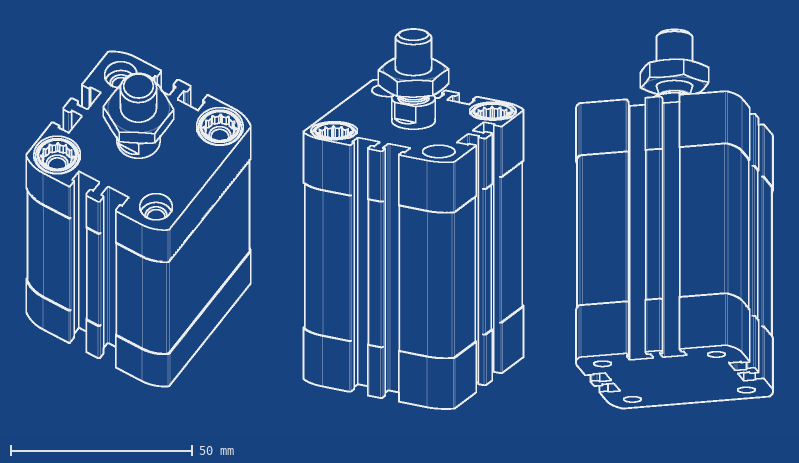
import cadquery as cq
import math

total_height = 99.6
housing_width = 47.0
housing_height = 73.8

half_width = housing_width / 2
cap_height = 15.1
barrel_inset = 0.3
hole_offset = 16.2
corner_radius = 11.6
cap_edge_radius = 0.7
barrel_edge_radius = 1.0

slot_mouth = 7.5
slot_wall = 8.2
rib_head = 2.3
rib_neck = 1.3
lip_depth = 2.5
slot_depth = 5.9
rib_round = 0.5
rib_root_round = 0.4
mouth_round = 0.3
cut_margin = 1.0
slot_angles = (0, 90, 180)

through_diameter = 4.9
hole_mouth_diameter = 6.0
counterbore_diameter = 9.0
counterbore_depth = 4.2

head_recess_diameter = 12.8
head_diameter = 11.9
head_chamfer = 0.5
socket_mouth_diameter = 10.2
socket_diameter = 8.2
spline_tip_diameter = 9.2
spline_squares = 3

rod_diameter = 12.0
rod_seat_depth = cap_height
shank_height = 6.8
flat_width = 10.0
flat_root_height = 2.0
flat_edge_height = 1.5
thread_diameter = 10.0
thread_tip_chamfer = 0.9
neck_base_diameter = 8.6
neck_diameter = 8.2
neck_step_diameter = 8.5
neck_start = 7.4
neck_end = 8.0
neck_step_end = 8.3

nut_width = 16.9
nut_start = 10.7
nut_thickness = 5.0
nut_chamfer_angle = 15.0


def corner_block(inset, edge_radius, height):
    """Square block whose four corners are arcs that end short of the X side faces."""
    side = half_width - inset
    radius = corner_radius - inset
    arc_centre_y = side - radius
    arc_end = arc_centre_y + math.sqrt(radius**2 - (side - hole_offset) ** 2)
    mid_angle = (math.pi / 2 + math.asin((arc_end - arc_centre_y) / radius)) / 2
    mid_x = hole_offset + radius * math.cos(mid_angle)
    mid_y = arc_centre_y + radius * math.sin(mid_angle)
    block = (
        cq.Workplane("XY")
        .moveTo(-hole_offset, side)
        .lineTo(hole_offset, side)
        .threePointArc((mid_x, mid_y), (side, arc_end))
        .lineTo(side, -arc_end)
        .threePointArc((mid_x, -mid_y), (hole_offset, -side))
        .lineTo(-hole_offset, -side)
        .threePointArc((-mid_x, -mid_y), (-side, -arc_end))
        .lineTo(-side, arc_end)
        .threePointArc((-mid_x, mid_y), (-hole_offset, side))
        .close()
        .extrude(height)
    )
    return block.edges("|Z and (>X or <X)").fillet(edge_radius)


def slot_cutter(inset, height):
    """Void of one slot beside the rib on the +Y side, with the rounds it leaves on the housing."""
    face = half_width - inset
    outside = half_width + cut_margin
    lip = half_width - lip_depth
    floor = half_width - slot_depth
    void = (
        cq.Workplane("XY")
        .moveTo(rib_head - rib_round, outside)
        .lineTo(slot_mouth + mouth_round, outside)
        .lineTo(slot_mouth + mouth_round, face)
        .radiusArc((slot_mouth, face - mouth_round), -mouth_round)
        .lineTo(slot_mouth, lip)
        .lineTo(slot_wall, lip)
        .lineTo(slot_wall, floor)
        .lineTo(rib_neck + rib_root_round, floor)
        .radiusArc((rib_neck, floor + rib_root_round), rib_root_round)
        .lineTo(rib_neck, lip)
        .lineTo(rib_head - rib_round, lip)
        .radiusArc((rib_head, lip + rib_round), -rib_round)
        .lineTo(rib_head, face - rib_round)
        .radiusArc((rib_head - rib_round, face), -rib_round)
        .close()
    )
    return void.extrude(height)


def housing_section(inset, edge_radius, base, height):
    """One length of the housing with its slots."""
    section = corner_block(inset, edge_radius, height)
    slot = slot_cutter(inset, height)
    slot_pair = slot.union(slot.mirror("YZ"))
    for angle in slot_angles:
        section = section.cut(slot_pair.rotate((0, 0, 0), (0, 0, 1), angle))
    return section.translate((0, 0, base))


def through_hole():
    """Through hole with a conical mouth at the counterbore floor, from the housing top down."""
    mouth_floor = -counterbore_depth
    hole_radius = through_diameter / 2
    mouth_radius = hole_mouth_diameter / 2
    return (
        cq.Workplane("XZ")
        .moveTo(0, mouth_floor)
        .lineTo(mouth_radius, mouth_floor)
        .lineTo(hole_radius, mouth_floor - (mouth_radius - hole_radius))
        .lineTo(hole_radius, -housing_height)
        .lineTo(0, -housing_height)
        .close()
        .revolve(360, (0, 0, 0), (0, 1, 0))
    )


def plain_hole():
    """Through hole below a round counterbore."""
    counterbore = cq.Workplane("XY").circle(counterbore_diameter / 2).extrude(-counterbore_depth)
    return through_hole().union(counterbore)


def head_groove():
    """Clearance ring between the recess wall and a screw head with a chamfered rim."""
    outer = head_recess_diameter / 2
    inner = head_diameter / 2
    return (
        cq.Workplane("XZ")
        .polyline(
            [
                (inner - head_chamfer, 0),
                (outer, 0),
                (outer, -counterbore_depth),
                (inner, -counterbore_depth),
                (inner, -head_chamfer),
            ]
        )
        .close()
        .revolve(360, (0, 0, 0), (0, 1, 0))
    )


def splined_hole():
    """Through hole below a socket with a conical mouth and twelve pointed spline grooves."""
    mouth_radius = socket_mouth_diameter / 2
    socket = cq.Workplane("XY").circle(socket_diameter / 2).extrude(-counterbore_depth)
    square_side = spline_tip_diameter / math.sqrt(2)
    square = cq.Workplane("XY").rect(square_side, square_side).extrude(-counterbore_depth)
    tip_turn = 45
    for index in range(spline_squares):
        turn = tip_turn + index * 90 / spline_squares
        socket = socket.union(square.rotate((0, 0, 0), (0, 0, 1), turn))
    mouth = cq.Workplane("XY").add(
        cq.Solid.makeCone(mouth_radius, 0, mouth_radius, dir=cq.Vector(0, 0, -1))
    )
    return through_hole().union(socket).union(mouth)


def make_housing():
    """Slotted housing with plain and splined holes on alternate corners and a rod seat."""
    barrel_height = housing_height - 2 * cap_height
    upper_cap_base = housing_height - cap_height
    housing = (
        housing_section(0, cap_edge_radius, 0, cap_height)
        .union(housing_section(barrel_inset, barrel_edge_radius, cap_height, barrel_height))
        .union(housing_section(0, cap_edge_radius, upper_cap_base, cap_height))
    )
    plain = plain_hole()
    splined = splined_hole()
    groove = head_groove()
    for side in (-1, 1):
        plain_place = (-side * hole_offset, side * hole_offset, housing_height)
        splined_place = (side * hole_offset, side * hole_offset, housing_height)
        housing = housing.cut(plain.translate(plain_place))
        housing = housing.cut(splined.translate(splined_place))
        housing = housing.cut(groove.translate(splined_place))
    rod_seat = (
        cq.Workplane("XY", origin=(0, 0, housing_height))
        .circle(rod_diameter / 2)
        .extrude(-rod_seat_depth)
    )
    return housing.cut(rod_seat)


def make_rod():
    """Turned rod with two wrench flats facing -Y and +Y."""
    thread_radius = thread_diameter / 2
    tip = total_height - housing_height
    rod = (
        cq.Workplane("XZ")
        .polyline(
            [
                (0, -rod_seat_depth),
                (rod_diameter / 2, -rod_seat_depth),
                (rod_diameter / 2, shank_height),
                (neck_base_diameter / 2, shank_height),
                (neck_diameter / 2, neck_start),
                (neck_diameter / 2, neck_end),
                (neck_step_diameter / 2, neck_step_end),
                (thread_radius, nut_start),
                (thread_radius, tip - thread_tip_chamfer),
                (thread_radius - thread_tip_chamfer, tip),
                (0, tip),
            ]
        )
        .close()
        .revolve(360, (0, 0, 0), (0, 1, 0))
    )
    flat = flat_width / 2
    edge = rod_diameter / 2
    flat_cutter = (
        cq.Workplane("YZ")
        .moveTo(flat, flat_root_height)
        .lineTo(edge, flat_edge_height)
        .lineTo(edge, shank_height)
        .lineTo(flat, shank_height)
        .close()
        .extrude(edge, both=True)
    )
    rod = rod.cut(flat_cutter).cut(flat_cutter.mirror("XZ"))
    return rod.translate((0, 0, housing_height))


def make_nut():
    """Hexagonal nut with conical chamfers on both faces and corners on the Y axis."""
    hexagon_radius = nut_width / math.sqrt(3)
    corner_reach = hexagon_radius - nut_width / 2
    corner_drop = corner_reach * math.tan(math.radians(nut_chamfer_angle))
    hexagon = (
        cq.Workplane("XY")
        .polygon(6, 2 * hexagon_radius)
        .extrude(nut_thickness)
        .rotate((0, 0, 0), (0, 0, 1), 30)
    )
    chamfered_disc = (
        cq.Workplane("XZ")
        .polyline(
            [
                (0, 0),
                (nut_width / 2, 0),
                (hexagon_radius, corner_drop),
                (hexagon_radius, nut_thickness - corner_drop),
                (nut_width / 2, nut_thickness),
                (0, nut_thickness),
            ]
        )
        .close()
        .revolve(360, (0, 0, 0), (0, 1, 0))
    )
    bore = cq.Workplane("XY").circle(thread_diameter / 2).extrude(nut_thickness)
    nut = hexagon.intersect(chamfered_disc).cut(bore)
    return nut.translate((0, 0, housing_height + nut_start))


housing = make_housing()
rod = make_rod()
nut = make_nut()

result = cq.Compound.makeCompound([housing.val(), rod.val(), nut.val()])